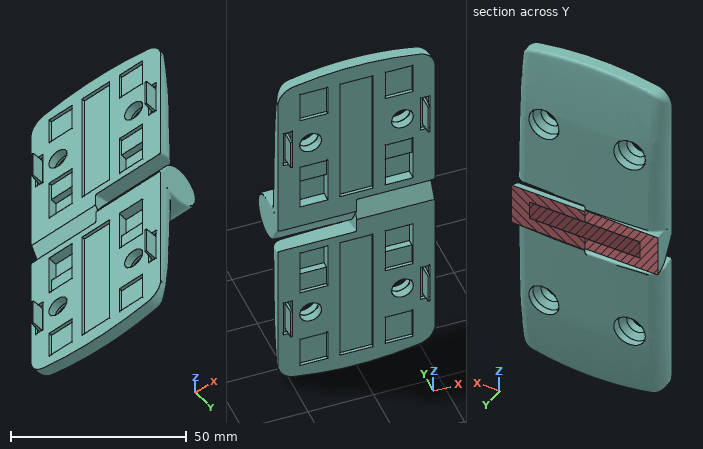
import cadquery as cq
import math

leaf_width = 48.0
half_width = leaf_width / 2
leaf_end = 57.5
end_arc_radius = 100.0
corner_radius = 6.0

ridge_start_height = 8.1
ridge_bend_height = 7.3
ridge_start = 5.0
ridge_bend = 32.5
ridge_radius = 130.0
ridge_overrun = 63.0
crown_drop = 0.7
edge_round_width = 3.8
edge_round_drop = 5.2
wall_height = ridge_start_height - edge_round_drop
section_depth = 12.0
end_fillet = 1.2

barrel_radius = 7.0
axis_height = 9.0
barrel_end_fillet = 0.6
knuckle_clearance = 0.05
underside_angle = 60.0
blend_radius = 0.6
pin_diameter = 6.0
pin_length = 36.0

relief_edge = 6.15
relief_angle = 17.0
relief_height = 30.0
relief_fillet = 0.6

hole_diameter = 6.6
hole_x = 14.0
hole_z = 32.5
countersink_diameter = 10.0
countersink_start = 2.7
countersink_half_angle = 45.0

pocket_depth = 1.0
deep_pocket_depth = 3.0
pocket_x = 13.0
pocket_width = 8.5
pocket_low = 8.85
deep_pocket_high = 17.8
lower_pocket_high = 24.1
end_pocket_low = 42.0
pocket_high = 52.0
channel_width = 10.1

tab_x = 20.95
tab_thickness = 0.9
tab_length = 10.0
tab_height = 2.9
tab_taper = 3.0
tab_recess_width = 2.8
tab_recess_length = 12.2


def box(x_low, x_high, y_low, y_high, z_low, z_high):
    size = (x_high - x_low, y_high - y_low, z_high - z_low)
    return cq.Workplane("XY").box(*size, centered=False).translate((x_low, y_low, z_low))


def face_pocket(x_center, width, z_low, z_high, depth):
    return box(x_center - width / 2, x_center + width / 2, 0, depth, z_low, z_high)


def dome():
    """Solid under the domed outer surface, from a crowned section swept along the ridge."""
    slope = math.atan2(ridge_start_height - ridge_bend_height, ridge_bend - ridge_start)
    center_y = ridge_bend_height - ridge_radius * math.cos(slope)
    center_z = ridge_bend - ridge_radius * math.sin(slope)

    def on_arc(z):
        return center_y + math.sqrt(ridge_radius**2 - (z - center_z) ** 2), z

    middle = (ridge_bend + ridge_overrun) / 2
    ridge = (
        cq.Workplane("YZ")
        .moveTo(ridge_start_height, ridge_start)
        .lineTo(ridge_bend_height, ridge_bend)
        .threePointArc(on_arc(middle), on_arc(ridge_overrun))
    )
    shoulder_x = half_width - edge_round_width
    shoulder_y = -crown_drop
    wall_y = -edge_round_drop
    edge_rise = shoulder_y - wall_y
    edge_radius = (edge_round_width**2 + edge_rise**2) / (2 * edge_round_width)
    section = (
        cq.Workplane("XY", origin=(0, ridge_start_height, ridge_start))
        .moveTo(-half_width, -section_depth)
        .lineTo(-half_width, wall_y)
        .radiusArc((-shoulder_x, shoulder_y), edge_radius)
        .threePointArc((0, 0), (shoulder_x, shoulder_y))
        .radiusArc((half_width, wall_y), edge_radius)
        .lineTo(half_width, -section_depth)
        .close()
    )
    return section.sweep(ridge)


def plate():
    """Leaf plate: the outline with rounded corners, under the dome."""
    arc_center = leaf_end - end_arc_radius
    corner_z = arc_center + math.sqrt(end_arc_radius**2 - half_width**2)
    outline = (
        cq.Workplane("XZ")
        .moveTo(-half_width, ridge_start)
        .lineTo(-half_width, corner_z)
        .threePointArc((0, leaf_end), (half_width, corner_z))
        .lineTo(half_width, ridge_start)
        .close()
        .extrude(-2 * axis_height)
        .edges("|Y")
        .edges(">Z")
        .fillet(corner_radius)
    )
    return outline.intersect(dome()).faces(">Z").edges(">Y").fillet(end_fillet)


def relief():
    """Clearance beside the barrel, with a sloping upper face."""
    rise = relief_height * math.tan(math.radians(relief_angle))
    return (
        cq.Workplane("YZ", origin=(-knuckle_clearance, 0, 0))
        .moveTo(0, -relief_edge)
        .lineTo(0, relief_edge)
        .lineTo(relief_height, relief_edge + rise)
        .lineTo(relief_height, -relief_edge)
        .close()
        .extrude(leaf_width)
    )


def barrel():
    """Round barrel joined to the mounting face by a flat top and a sloping underside."""
    angle = math.radians(underside_angle)
    tangent_y = axis_height - barrel_radius * math.sin(angle)
    tangent_z = -barrel_radius * math.cos(angle)
    underside_z = tangent_z + tangent_y * math.tan(angle)
    return (
        cq.Workplane("YZ", origin=(-half_width, 0, 0))
        .moveTo(0, barrel_radius)
        .lineTo(axis_height, barrel_radius)
        .threePointArc((axis_height + barrel_radius, 0), (axis_height, -barrel_radius))
        .radiusArc((tangent_y, tangent_z), barrel_radius)
        .lineTo(0, underside_z)
        .close()
        .extrude(half_width - knuckle_clearance)
        .faces("<X")
        .edges("not <Y")
        .fillet(barrel_end_fillet)
    )


def pin():
    return (
        cq.Workplane("YZ", origin=(-pin_length / 2, axis_height, 0))
        .circle(pin_diameter / 2)
        .extrude(pin_length)
    )


def screw_hole(x):
    """Through bore opening by a cone into a wider round mouth in the dome."""
    bore_radius = hole_diameter / 2
    mouth_radius = countersink_diameter / 2
    cone_depth = (mouth_radius - bore_radius) / math.tan(math.radians(countersink_half_angle))
    mouth_floor = countersink_start + cone_depth
    return (
        cq.Workplane("XY", origin=(x, 0, hole_z))
        .lineTo(bore_radius, 0)
        .lineTo(bore_radius, countersink_start)
        .lineTo(mouth_radius, mouth_floor)
        .lineTo(mouth_radius, axis_height)
        .lineTo(0, axis_height)
        .close()
        .revolve(360, (0, 0, 0), (0, 1, 0))
    )


def tab(side):
    return (
        cq.Workplane("XZ", origin=(side * tab_x, pocket_depth, hole_z))
        .rect(tab_thickness, tab_length)
        .extrude(pocket_depth + tab_height, taper=tab_taper)
    )


def leaf_with_barrel():
    """Plate relieved beside the barrel, and the barrel blended into the dome."""
    sloping_face = cq.selectors.BoxSelector(
        (0, 0, relief_edge), (half_width, axis_height, relief_edge + axis_height)
    )
    relieved = (
        plate()
        .cut(relief())
        .faces(sloping_face)
        .faces("<Z")
        .edges("not <Y")
        .edges("not <X")
        .fillet(relief_fillet)
    )
    flat_top_seam = cq.selectors.BoxSelector(
        (-half_width, wall_height, barrel_radius - barrel_end_fillet),
        (0, ridge_start_height, barrel_radius + blend_radius),
    )
    return relieved.union(barrel()).edges(flat_top_seam).fillet(blend_radius)


def leaf():
    body = leaf_with_barrel()
    body = body.cut(face_pocket(0, channel_width, pocket_low, pocket_high, pocket_depth))
    for side in (-1, 1):
        x = side * pocket_x
        body = body.cut(face_pocket(x, pocket_width, end_pocket_low, pocket_high, pocket_depth))
        body = body.cut(face_pocket(x, pocket_width, pocket_low, lower_pocket_high, pocket_depth))
        body = body.cut(face_pocket(x, pocket_width, pocket_low, deep_pocket_high, deep_pocket_depth))
        body = body.cut(screw_hole(side * hole_x))
        recess_low = hole_z - tab_recess_length / 2
        recess_high = hole_z + tab_recess_length / 2
        body = body.cut(
            face_pocket(side * tab_x, tab_recess_width, recess_low, recess_high, pocket_depth)
        )
        body = body.union(tab(side))
    return body.cut(pin())


leaves = [leaf().rotate((0, 0, 0), (0, 1, 0), turn) for turn in (0, 180)]
hinge_pin = pin()

result = cq.Compound.makeCompound([*[part.val() for part in leaves], hinge_pin.val()])